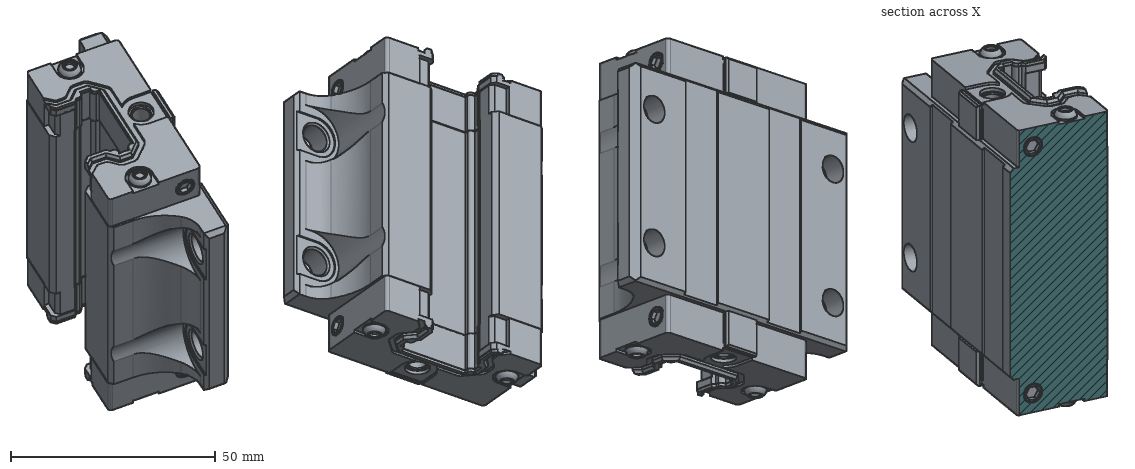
import cadquery as cq
import math


height = 27.2
length = 79.6
half_length = length / 2
body_half_length = 28.65
cap_half_length = 38.6

flange_width = 73.0
flange_half_width = flange_width / 2
flange_under_y = 20.2
flange_flat_end_x = 33.4
body_half_width = 24.0
small_blend_radius = 7.0
large_blend_radius = 18.3
body_bottom_chamfer = 1.1
flange_corner_chamfer = 1.2
flange_under_chamfer = 0.9
flange_top_side_chamfer = 2.0
flange_top_end_chamfer = 1.0
relief_inner_x = 8.5
relief_outer_x = 19.4
relief_depth = 0.55

hole_x = 30.0
hole_z = 17.5
hole_diameter = 7.0
hole_mouth_diameter = 8.0
spot_face_radius = 5.4
spot_face_depth = 0.4
tool_clearance_x = 31.45
tool_clearance_radius = 7.9

cap_half_width = 23.5
cap_bottom_y = 0.15
cap_top_y = 25.1
cap_edge_radius = 0.9
pocket_depth = 0.68
pocket_floor_z = cap_half_length - pocket_depth
pocket_corner_radius = 2.0
rail_clearance = 0.3
seal_clearance = 0.15
notch_half_width = 13.45
notch_floor_x = 10.0
notch_inner_x = 9.0
notch_roof_y = 1.4
notch_top_y = 6.4
notch_end_z = 36.7

seal_top_z = 39.4
seal_bevel_height = 0.8
seal_bevel_width = 0.55

screw_x = 19.9
screw_y = 10.2
screw_recess_radius = 3.5
screw_head_diameter = 5.7
screw_crown_diameter = 3.7
screw_rim_z = 38.4
dome_fullness = 0.6
socket_ring_diameter = 3.2
socket_ring_depth = 0.2
socket_diameter = 2.5
socket_depth = 0.95

port_y = 20.05
port_diameter = 5.0
port_mouth_diameter = 6.2
port_mouth_depth = 0.95
port_lead_in_depth = 0.3
port_bore_diameter = 4.4
port_bore_depth = 6.4
port_pad_radius = 4.85
tab_bottom_y = 25.6
tab_top_y = 26.9
tab_half_width = 5.1
tab_top_half_width = 4.7
tab_edge_thickness = 0.55
tab_end_chamfer = 0.5
tab_neck_drop = 1.35

plug_y = 20.85
plug_z = 33.35
plug_mouth_diameter = 5.0
plug_diameter = 4.4
plug_chamfer_depth = 0.3
plug_hex_flats = 3.3
plug_hex_depth = 1.3

reach = 4.0


def slab(x_min, x_max, y_min, y_max, z_min, z_max):
    size = (x_max - x_min, y_max - y_min, z_max - z_min)
    return cq.Workplane("XY").box(*size, centered=False).translate((x_min, y_min, z_min))


def mirrored_outline(half_points):
    """Closed outline, symmetric about X = 0, from the points of its +X half."""
    other_half = [(-x, y) for x, y in reversed(half_points)]
    return cq.Workplane("XY").polyline(half_points + other_half).close()


def both_sides(solid):
    return solid.union(solid.mirror("YZ"))


def both_ends(solid):
    return solid.union(solid.mirror("XY"))


def circle_point(center, angle, radius):
    return (center[0] + radius * math.cos(angle), center[1] + radius * math.sin(angle))


def opening(z_min, z_max, clearance=0.0):
    """Cutter for the rail opening, with two rounded ridges on each side."""
    roof_y = 13.2
    groove_x = 11.1
    groove_top_y = 11.4
    groove_bottom_y = 9.0
    ridge_x = 9.5
    ridge_height = 1.0
    lip_x = 8.7
    lip_top_y = 6.4
    lip_chamfer = 1.2
    run_out = 1.6

    upper_ridge_y = groove_top_y + ridge_height
    lower_ridge_y = groove_bottom_y - ridge_height
    arc_rise = ridge_height * math.sqrt(0.5)
    arc_mid_x = groove_x - (groove_x - ridge_x) * math.sqrt(0.5)

    outline = (
        cq.Workplane("XY")
        .moveTo(0, roof_y)
        .lineTo(ridge_x, roof_y)
        .lineTo(ridge_x, upper_ridge_y)
        .threePointArc((arc_mid_x, upper_ridge_y - arc_rise), (groove_x, groove_top_y))
        .lineTo(groove_x, groove_bottom_y)
        .threePointArc((arc_mid_x, lower_ridge_y + arc_rise), (ridge_x, lower_ridge_y))
        .lineTo(ridge_x, lip_top_y + ridge_x - lip_x)
        .lineTo(lip_x, lip_top_y)
        .lineTo(lip_x, lip_chamfer)
        .lineTo(lip_x + lip_chamfer + run_out, -run_out)
        .lineTo(0, -run_out)
        .mirrorY()
    )
    if clearance:
        outline = outline.offset2D(clearance, "intersection")
    return outline.extrude(z_max - z_min).translate((0, 0, z_min))


def body_profile():
    """Flange, concave blends and legs as one cross-section, without the rail opening."""
    small_center = (flange_flat_end_x, flange_under_y - small_blend_radius)
    large_center_x = body_half_width + large_blend_radius
    center_run = large_center_x - small_center[0]
    center_distance = large_blend_radius - small_blend_radius
    center_rise = math.sqrt(center_distance**2 - center_run**2)
    large_center = (large_center_x, small_center[1] - center_rise)
    joint_angle = math.pi - math.atan2(center_rise, center_run)
    joint = circle_point(small_center, joint_angle, small_blend_radius)
    small_mid = circle_point(small_center, (joint_angle + math.pi / 2) / 2, small_blend_radius)
    large_mid = circle_point(large_center, (joint_angle + math.pi) / 2, large_blend_radius)

    return (
        cq.Workplane("XY")
        .moveTo(0, height)
        .lineTo(flange_half_width - flange_top_side_chamfer, height)
        .lineTo(flange_half_width, height - flange_top_side_chamfer)
        .lineTo(flange_half_width, flange_under_y + flange_under_chamfer)
        .lineTo(flange_half_width - flange_corner_chamfer, flange_under_y)
        .lineTo(flange_flat_end_x, flange_under_y)
        .threePointArc(small_mid, joint)
        .threePointArc(large_mid, (body_half_width, large_center[1]))
        .lineTo(body_half_width, body_bottom_chamfer)
        .lineTo(body_half_width - body_bottom_chamfer, 0)
        .lineTo(0, 0)
        .mirrorY()
    )


def flange_end_trim():
    """Everything inside the bevelled ends of the flange."""
    block = slab(
        -flange_half_width, flange_half_width, 0, height, -body_half_length, body_half_length
    )
    inside_corners = block.edges("|Y").chamfer(flange_corner_chamfer)
    inside_top_ends = block.edges("|X and >Y").chamfer(flange_top_end_chamfer)
    return inside_corners.intersect(inside_top_ends)


def u_slot(center_x, radius, y_min, y_max):
    """Slot along X with a round end toward the body, open at the flange side."""
    round_end = (
        cq.Workplane("XZ", origin=(center_x, y_max, hole_z))
        .circle(radius)
        .extrude(y_max - y_min)
    )
    outer_x = flange_half_width + reach
    return round_end.union(
        slab(center_x, outer_x, y_min, y_max, hole_z - radius, hole_z + radius)
    )


def mounting_hole():
    """Cutter for one hole with its spot face and the clearance below it."""
    spot_face_y = flange_under_y + spot_face_depth
    mouth_depth = (hole_mouth_diameter - hole_diameter) / 2
    bore = (
        cq.Workplane("XZ", origin=(hole_x, height + reach, hole_z))
        .circle(hole_diameter / 2)
        .extrude(height + reach)
    )
    mouth = cq.Workplane(
        cq.Solid.makeCone(
            hole_mouth_diameter / 2, hole_diameter / 2, mouth_depth,
            pnt=cq.Vector(hole_x, spot_face_y, hole_z), dir=cq.Vector(0, 1, 0),
        )
    )
    spot_face = u_slot(hole_x, spot_face_radius, flange_under_y - reach, spot_face_y)
    clearance = u_slot(tool_clearance_x, tool_clearance_radius, -reach, flange_under_y)
    return bore.union(mouth).union(spot_face).union(clearance)


def make_body():
    body = (
        body_profile()
        .extrude(2 * body_half_length)
        .translate((0, 0, -body_half_length))
        .intersect(flange_end_trim())
    )
    relief = slab(
        relief_inner_x, relief_outer_x, height - relief_depth, height + reach,
        -body_half_length, body_half_length,
    )
    body = body.cut(both_sides(relief))
    body = body.cut(both_ends(both_sides(mounting_hole())))
    return body.cut(opening(-body_half_length, body_half_length, rail_clearance))


def seal_pocket():
    """Recess in the cap face around the opening, running out through the leg ends."""
    leg_bend_y = 2.55
    outline = [
        (10.0, 16.5), (14.6, 11.95), (14.6, 7.95), (11.8, 5.2),
        (11.8, leg_bend_y), (13.9, cap_bottom_y), (13.9, -reach),
    ]
    pocket = mirrored_outline(outline).extrude(reach).translate((0, 0, pocket_floor_z))
    above_leg_bends = cq.selectors.BoxSelector(
        (-cap_half_width, leg_bend_y + pocket_corner_radius, 0),
        (cap_half_width, height, length),
    )
    return pocket.edges("|Z").edges(above_leg_bends).fillet(pocket_corner_radius)


def make_seal():
    """Raised band around the opening with a bevelled outer edge."""
    outline = [
        (9.7, 14.8), (12.9, 11.6), (12.9, 8.2), (10.35, 5.65),
        (10.35, 1.8), (12.7, -0.55), (12.7, -reach),
    ]
    bevel_start_z = seal_top_z - seal_bevel_height
    bevel_angle = math.degrees(math.atan2(seal_bevel_width, seal_bevel_height))
    base = mirrored_outline(outline).extrude(bevel_start_z - pocket_floor_z)
    bevel = mirrored_outline(outline).extrude(seal_bevel_height, taper=bevel_angle)
    band = base.translate((0, 0, pocket_floor_z)).union(bevel.translate((0, 0, bevel_start_z)))
    above_leg_ends = slab(
        -cap_half_width, cap_half_width, cap_bottom_y, cap_top_y, pocket_floor_z, half_length
    )
    return band.intersect(above_leg_ends)


def leg_notch():
    """Cutter for the stepped inner corner of a cap leg, below the seal."""
    depth = notch_end_z - body_half_length
    bevel = notch_floor_x - notch_inner_x
    opening_x = notch_inner_x - reach
    outline = [
        (notch_half_width, -reach), (notch_half_width, notch_roof_y),
        (notch_floor_x, notch_roof_y), (notch_inner_x, notch_roof_y + bevel),
        (notch_inner_x, notch_top_y), (opening_x, notch_top_y), (opening_x, -reach),
    ]
    notch = cq.Workplane("XY", origin=(0, 0, body_half_length)).polyline(outline).close()
    return notch.extrude(depth)


def screw_recess():
    floor = cq.Workplane("XY", origin=(screw_x, screw_y, pocket_floor_z))
    round_end = floor.circle(screw_recess_radius).extrude(reach)
    run_out = slab(
        screw_x, cap_half_width + reach,
        screw_y - screw_recess_radius, screw_y + screw_recess_radius,
        pocket_floor_z, pocket_floor_z + reach,
    )
    return round_end.union(run_out)


def screw_head():
    """Button head with a domed flank and a stepped socket."""
    rim_radius = screw_head_diameter / 2
    crown_radius = screw_crown_diameter / 2
    dome_mid = (
        crown_radius + dome_fullness * (rim_radius - crown_radius),
        screw_rim_z + dome_fullness * (half_length - screw_rim_z),
    )
    head = (
        cq.Workplane("XZ")
        .moveTo(0, pocket_floor_z)
        .lineTo(rim_radius, pocket_floor_z)
        .lineTo(rim_radius, screw_rim_z)
        .threePointArc(dome_mid, (crown_radius, half_length))
        .lineTo(0, half_length)
        .close()
        .revolve(360, (0, 0, 0), (0, 1, 0))
        .faces(">Z")
        .workplane()
        .cboreHole(socket_diameter, socket_ring_diameter, socket_ring_depth, socket_depth)
    )
    return head.translate((screw_x, screw_y, 0))


def cone_frustum(start_diameter, end_diameter, depth):
    """Cone sinking along -Z from the origin."""
    cone = cq.Solid.makeCone(
        start_diameter / 2, end_diameter / 2, depth, dir=cq.Vector(0, 0, -1)
    )
    return cq.Workplane(cone)


def grease_port():
    """Counterbored blind hole with a small cone leading into the bore."""
    bore = cq.Workplane("XY").circle(port_bore_diameter / 2).extrude(-port_bore_depth)
    mouth = cq.Workplane("XY").circle(port_mouth_diameter / 2).extrude(-port_mouth_depth)
    lead_in = cone_frustum(port_diameter, port_bore_diameter, port_lead_in_depth)
    port = bore.union(mouth).union(lead_in.translate((0, 0, -port_mouth_depth)))
    return port.translate((0, port_y, pocket_floor_z))


def side_plug():
    """Cutter that leaves a flush set screw with a bevelled rim and a hexagon socket."""
    rim_groove = (
        cq.Workplane("XY")
        .circle(plug_mouth_diameter / 2)
        .extrude(-plug_chamfer_depth)
        .cut(cone_frustum(plug_diameter, plug_mouth_diameter, plug_chamfer_depth))
    )
    hex_corners = plug_hex_flats / math.cos(math.pi / 6)
    socket = (
        cq.Workplane("XY")
        .polygon(6, hex_corners)
        .extrude(-plug_hex_depth)
        .rotate((0, 0, 0), (0, 0, 1), 90)
    )
    plug = rim_groove.union(socket)
    return plug.rotate((0, 0, 0), (0, 1, 0), 90).translate((cap_half_width, plug_y, plug_z))


def grease_pad():
    """U-shaped recess around the grease port, open toward the mounting face."""
    floor = cq.Workplane("XY", origin=(0, port_y, pocket_floor_z))
    run_out = slab(
        -port_pad_radius, port_pad_radius, port_y, cap_top_y + reach,
        pocket_floor_z, pocket_floor_z + reach,
    )
    return floor.circle(port_pad_radius).extrude(reach).union(run_out)


def grease_tab():
    """Plate held above the cap on a shorter neck."""
    outline = [
        (tab_top_half_width, tab_top_y),
        (tab_half_width, tab_bottom_y + tab_edge_thickness),
        (tab_half_width, tab_bottom_y),
    ]
    plate = (
        mirrored_outline(outline)
        .extrude(pocket_floor_z - body_half_length)
        .translate((0, 0, body_half_length))
        .edges(">Y and >Z")
        .chamfer(tab_end_chamfer)
    )
    neck = slab(
        -port_pad_radius, port_pad_radius, cap_top_y, tab_bottom_y,
        body_half_length, pocket_floor_z - tab_neck_drop,
    )
    return plate.union(neck)


def make_cap():
    """Plastic end cap at the +Z end, with seal, screws and grease port."""
    cap = (
        slab(
            -cap_half_width, cap_half_width, cap_bottom_y, cap_top_y,
            body_half_length, cap_half_length,
        )
        .edges("|Z")
        .fillet(cap_edge_radius)
    )
    cap = cap.cut(seal_pocket()).cut(grease_pad())
    cap = cap.cut(both_sides(screw_recess()))
    cap = cap.union(make_seal()).union(grease_tab())
    cap = cap.cut(opening(body_half_length, half_length))
    cap = cap.cut(opening(cap_half_length, half_length, seal_clearance))
    cap = cap.cut(both_sides(leg_notch())).cut(both_sides(side_plug()))
    cap = cap.cut(grease_port())
    return cap.union(both_sides(screw_head()))


result = make_body().union(both_ends(make_cap()))